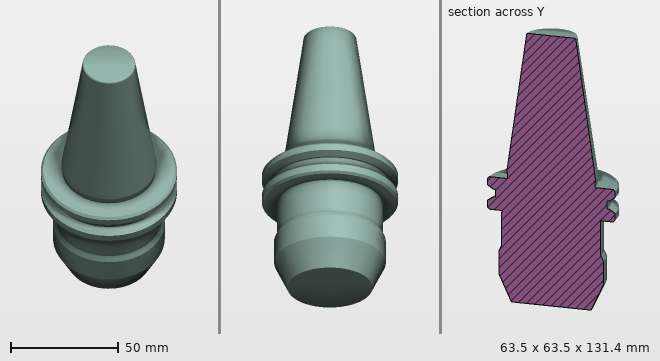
import cadquery as cq

total_height = 131.4
gauge_z = 63.0
flange_top_z = 59.9
flange_bottom_z = 43.9
groove_center_z = 52.0
groove_floor_width = 3.5
collar_top_z = 27.2
collar_edge_z = 24.5
nose_cone_top_z = 13.0

gauge_radius = 22.2
relief_radius = 21.8
flange_radius = 31.73
groove_radius = 27.9
groove_lip_radius = 28.8
neck_radius = 24.7
collar_radius = 26.0
nose_radius = 19.8

taper_ratio = 7 / 24
tip_round = 0.9
gauge_edge_drop = 0.7
flange_chamfer = 1.0
neck_chamfer_height = 0.8
neck_chamfer_width = 0.3
groove_wall_height = 2.0

tip_radius = gauge_radius - (total_height - gauge_z) * taper_ratio / 2
groove_floor_top_z = groove_center_z + groove_floor_width / 2
groove_floor_bottom_z = groove_center_z - groove_floor_width / 2


def revolve_profile(points):
    """Revolve a closed (radius, height) outline about the Z axis."""
    return cq.Workplane("XZ").polyline(points).close().revolve(360, (0, 0), (0, 1))


def make_shank():
    """Steep taper with a rounded tip and a slight relief above the flange."""
    shank = revolve_profile([
        (0, flange_bottom_z),
        (relief_radius, flange_bottom_z),
        (relief_radius, gauge_z - gauge_edge_drop),
        (gauge_radius, gauge_z),
        (tip_radius, total_height),
        (0, total_height),
    ])
    return shank.faces(">Z").edges().fillet(tip_round)


def make_flange():
    """Chamfered flange with a gripper groove: sloped walls, then a small square step to the floor."""
    return revolve_profile([
        (0, flange_bottom_z),
        (flange_radius - flange_chamfer, flange_bottom_z),
        (flange_radius, flange_bottom_z + flange_chamfer),
        (flange_radius, groove_floor_bottom_z - groove_wall_height),
        (groove_lip_radius, groove_floor_bottom_z),
        (groove_radius, groove_floor_bottom_z),
        (groove_radius, groove_floor_top_z),
        (groove_lip_radius, groove_floor_top_z),
        (flange_radius, groove_floor_top_z + groove_wall_height),
        (flange_radius, flange_top_z - flange_chamfer),
        (flange_radius - flange_chamfer, flange_top_z),
        (0, flange_top_z),
    ])


def make_chuck_body():
    """Neck, wider collar and conical nose below the flange."""
    return revolve_profile([
        (0, 0),
        (nose_radius, 0),
        (collar_radius, nose_cone_top_z),
        (collar_radius, collar_edge_z),
        (neck_radius, collar_top_z),
        (neck_radius, flange_bottom_z - neck_chamfer_height),
        (neck_radius - neck_chamfer_width, flange_bottom_z),
        (0, flange_bottom_z),
    ])


result = make_chuck_body().union(make_flange()).union(make_shank())